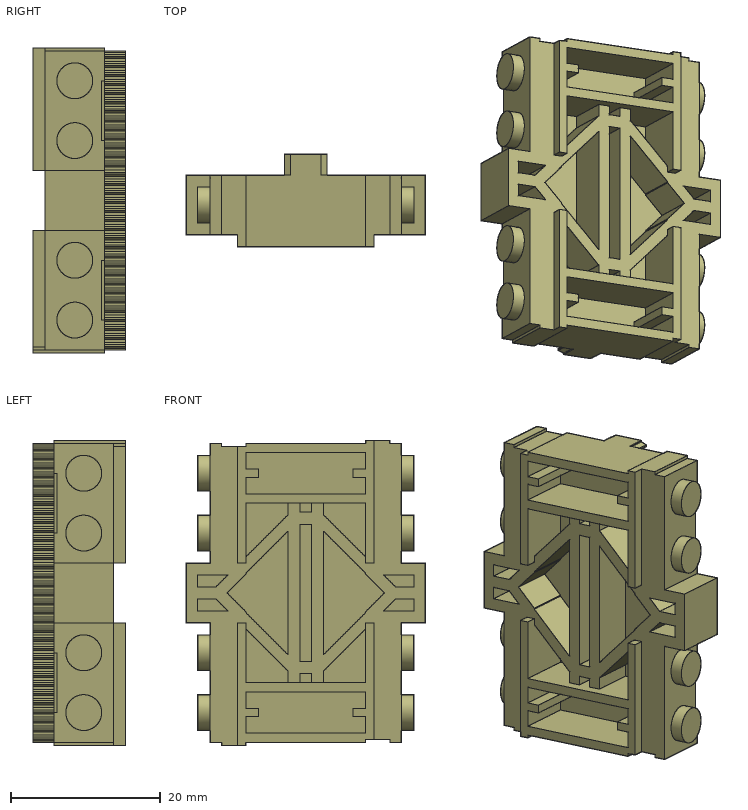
import cadquery as cq
import math

half_width = 12.8
half_height = 20.0
front_y = -4.0
back_y = 4.0
frame_front_y = -5.6
end_step = 0.4
step_outer_x = 11.25

lug_half_width = 16.0
lug_half_height = 4.0

cavity_half_width = 8.0
rail_outer_x = 9.15
bay_top_z = 18.75
bay_bottom_z = 13.25
web_zone_top_z = 12.0
floor_y = 2.4
tab_length = 1.7
tab_height = 1.1
bay_middle_z = 16.0

web_thickness = 1.54
tip_reach = 10.52
tip_step = 0.12
diamond_reach = tip_reach + tip_step
web_reach = diamond_reach + web_thickness * math.sqrt(2)
spine_half_width = 2.4
slot_half_width = 0.8
slot_half_height = 9.15
end_slot_z = 10.8

lug_opening_outer_x = 14.5
lug_opening_top_z = 2.4
lug_opening_bottom_z = 0.8

peg_diameter = 4.8
peg_tip_x = 14.45
peg_heights = (8.0, 16.0)

relief_size = 0.4

rack_back_y = 6.8
rack_tip_x = 2.85
rack_root_x = 2.05
tooth_count = 33
tooth_pitch = 2 * half_height / tooth_count
tooth_tip_width = 0.26
tooth_root_width = 0.39


def block(x0, x1, y0, y1, z0, z1):
    """Box between two opposite corners."""
    return cq.Workplane("XY").box(x1 - x0, y1 - y0, z1 - z0, centered=False).translate((x0, y0, z0))


def prism(points, y0, y1):
    """Closed XZ outline extruded from y0 to y1."""
    return cq.Workplane("XZ", origin=(0, y1, 0)).polyline(points).close().extrude(y1 - y0)


def centred_block(half_x, half_z, y0, y1):
    return block(-half_x, half_x, y0, y1, -half_z, half_z)


def diamond(reach, y0, y1):
    return prism([(reach, 0), (0, reach), (-reach, 0), (0, -reach)], y0, y1)


def outer_body():
    """Main block with side lugs and the frame, which is interrupted at the lugs."""
    body = centred_block(half_width, half_height, front_y, back_y)
    body = body.union(centred_block(lug_half_width, lug_half_height, front_y, back_y))
    for sign in (-1, 1):
        z_inner, z_outer = sorted((sign * lug_half_height, sign * half_height))
        body = body.union(block(-rail_outer_x, rail_outer_x, frame_front_y, back_y, z_inner, z_outer))
    return body


def add_end_steps(body):
    """Raised step on one half of each end, matching recess on the other half."""
    raised = block(cavity_half_width, step_outer_x, front_y, back_y, half_height, half_height + end_step)
    raised = raised.union(
        block(cavity_half_width, rail_outer_x, frame_front_y, back_y, half_height, half_height + end_step)
    )
    recess = block(-step_outer_x, -cavity_half_width, frame_front_y, back_y, half_height - end_step, half_height)
    for angle in (0, 180):
        body = body.union(raised.rotate((0, 0, 0), (0, 1, 0), angle))
        body = body.cut(recess.rotate((0, 0, 0), (0, 1, 0), angle))
    return body


def cut_bays(body):
    """Rectangular bay near each end, with a locating tab on both side walls."""
    bay = block(-cavity_half_width, cavity_half_width, frame_front_y, floor_y, bay_bottom_z, bay_top_z)
    for side in (-1, 1):
        x0, x1 = sorted((side * cavity_half_width, side * (cavity_half_width - tab_length)))
        tab_bottom_z = bay_middle_z - tab_height / 2
        bay = bay.cut(block(x0, x1, frame_front_y, floor_y, tab_bottom_z, tab_bottom_z + tab_height))
    return body.cut(bay).cut(bay.mirror("XY"))


def cut_web_zone(body):
    """Central cavity, leaving the diamond web and its vertical spine."""
    cavity = centred_block(cavity_half_width, web_zone_top_z, frame_front_y, floor_y)
    web = diamond(web_reach, front_y, floor_y)
    spine = centred_block(spine_half_width, web_zone_top_z, front_y, floor_y)
    wide_opening = diamond(diamond_reach, front_y, floor_y).intersect(cavity)
    opening = wide_opening.union(diamond(tip_reach, front_y, floor_y)).cut(spine)
    body = body.cut(cavity.cut(web).cut(spine)).cut(opening)
    body = body.cut(centred_block(cavity_half_width, web_zone_top_z, frame_front_y, front_y))
    body = body.cut(centred_block(slot_half_width, slot_half_height, front_y, floor_y))
    for sign in (-1, 1):
        z0, z1 = sorted((sign * end_slot_z, sign * web_zone_top_z))
        body = body.cut(block(-slot_half_width, slot_half_width, front_y, floor_y, z0, z1))
    return body


def cut_lug_openings(body):
    """Two openings per lug, their inner ends parallel to the diamond web."""
    opening = prism(
        [
            (lug_opening_outer_x, lug_opening_bottom_z),
            (lug_opening_outer_x, lug_opening_top_z),
            (web_reach - lug_opening_top_z, lug_opening_top_z),
            (web_reach - lug_opening_bottom_z, lug_opening_bottom_z),
        ],
        front_y,
        floor_y,
    )
    pair = opening.union(opening.mirror("XY"))
    return body.cut(pair).cut(pair.mirror("YZ"))


def add_pegs(body):
    """Four round pegs on each side wall."""
    for height in peg_heights:
        for z in (-height, height):
            peg = cq.Workplane("YZ", origin=(half_width, 0, z)).circle(peg_diameter / 2)
            peg = peg.extrude(peg_tip_x - half_width)
            body = body.union(peg).union(peg.mirror("YZ"))
    return body


def cut_edge_reliefs(body):
    """Small square notches along the back side edges."""
    low, high = peg_heights
    relief = block(half_width - relief_size, half_width, back_y - relief_size, back_y, low, high)
    pair = relief.union(relief.mirror("XY"))
    return body.cut(pair).cut(pair.mirror("YZ"))


def rack():
    """Bar with trapezoidal teeth on both sides; a tooth is centred at Z = 0."""
    right_side = [(rack_root_x, -half_height)]
    for i in range(tooth_count):
        z = (i - (tooth_count - 1) / 2) * tooth_pitch
        foot = (tooth_pitch - tooth_root_width) / 2
        right_side += [
            (rack_root_x, z - foot),
            (rack_tip_x, z - tooth_tip_width / 2),
            (rack_tip_x, z + tooth_tip_width / 2),
            (rack_root_x, z + foot),
        ]
    right_side.append((rack_root_x, half_height))
    left_side = [(-x, z) for x, z in reversed(right_side)]
    return prism(right_side + left_side, back_y, rack_back_y)


result = outer_body()
result = add_end_steps(result)
result = cut_bays(result)
result = cut_web_zone(result)
result = cut_lug_openings(result)
result = add_pegs(result)
result = cut_edge_reliefs(result)
result = result.union(rack())